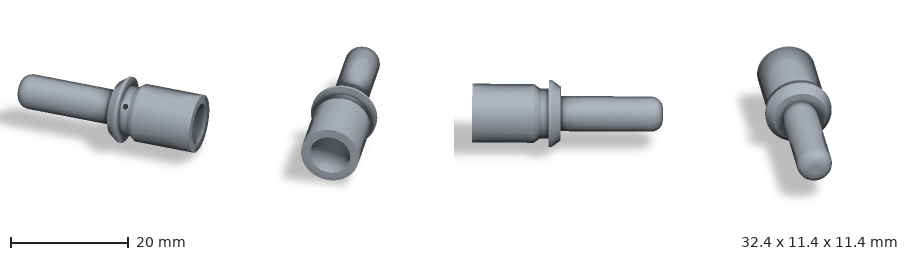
import cadquery as cq
import math

overall_length = 32.4

pin_diameter = 6.0
pin_length = 17.4
nose_radius = 2.0

collar_diameter = 11.4
collar_width = 2.0
collar_bevel_length = 1.5
collar_bevel_height = 1.1

neck_diameter = 8.5
neck_width = 1.5

barrel_diameter = 10.0
barrel_cone_length = 1.0

bore_diameter = 7.0

inspection_diameter = 1.0
inspection_setback = 0.8
inspection_elevation = 40.0

collar_rear = pin_length + collar_width
neck_rear = collar_rear + neck_width
barrel_front = neck_rear + barrel_cone_length
inspection_x = collar_rear + inspection_setback


def turned_body():
    """Revolve the half profile, drawn as (X, radius), about the X axis."""
    pin_radius = pin_diameter / 2
    collar_radius = collar_diameter / 2
    neck_radius = neck_diameter / 2
    barrel_radius = barrel_diameter / 2
    nose_flat_radius = pin_radius - nose_radius
    nose_mid = (
        nose_radius * (1 - math.sqrt(0.5)),
        nose_flat_radius + nose_radius * math.sqrt(0.5),
    )
    profile = (
        cq.Workplane("XY")
        .moveTo(0, 0)
        .lineTo(0, nose_flat_radius)
        .threePointArc(nose_mid, (nose_radius, pin_radius))
        .lineTo(pin_length, pin_radius)
        .lineTo(pin_length, collar_radius - collar_bevel_height)
        .lineTo(pin_length + collar_bevel_length, collar_radius)
        .lineTo(collar_rear, collar_radius)
        .lineTo(collar_rear, neck_radius)
        .lineTo(neck_rear, neck_radius)
        .lineTo(barrel_front, barrel_radius)
        .lineTo(overall_length, barrel_radius)
        .lineTo(overall_length, 0)
        .close()
    )
    return profile.revolve(360, (0, 0, 0), (1, 0, 0))


def wire_bore():
    """Blind cylinder running from the collar's rear face out of the barrel end."""
    return (
        cq.Workplane("YZ", origin=(collar_rear, 0, 0))
        .circle(bore_diameter / 2)
        .extrude(overall_length - collar_rear)
    )


def inspection_hole():
    """Radial cylinder from the axis out through one side of the neck."""
    angle = math.radians(inspection_elevation)
    outward = cq.Vector(0, -math.cos(angle), math.sin(angle))
    start = cq.Vector(inspection_x, 0, 0)
    return cq.Solid.makeCylinder(inspection_diameter / 2, neck_diameter, start, outward)


result = turned_body().cut(wire_bore()).cut(inspection_hole())